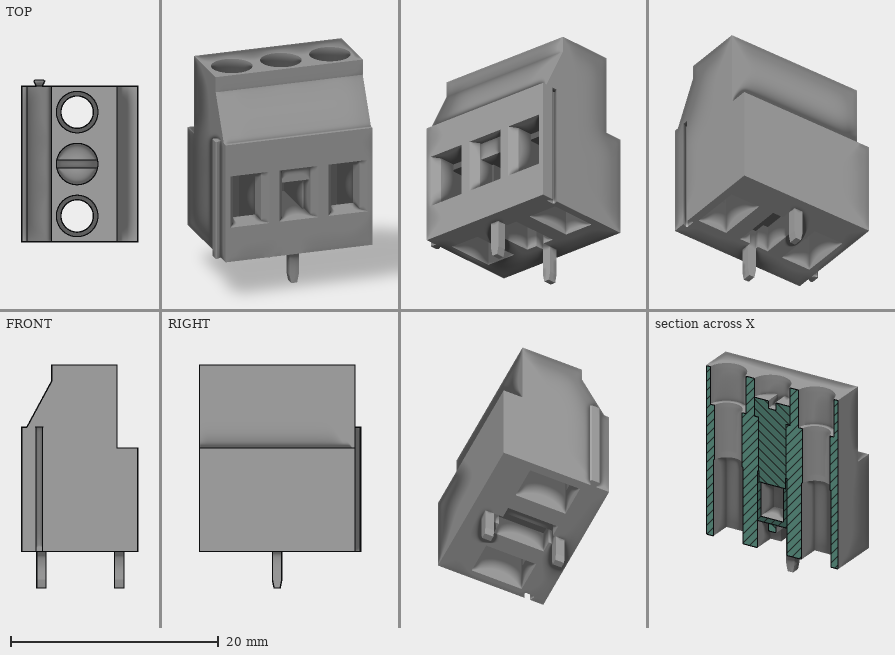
import cadquery as cq


pole_count = 3
pole_pitch = 5.0
housing_width = pole_count * pole_pitch
pole_centres = [(i + 0.5) * pole_pitch for i in range(pole_count)]
fitted_pole_y = pole_centres[pole_count // 2]

housing_depth = 11.2
housing_height = 18.0
front_height = 12.0
front_ledge = 0.5
slope_end_x = 2.9
slope_end_z = 16.45
rear_step_x = 9.2
rear_step_z = 10.0

dovetail_x = 1.7
dovetail_neck = 0.6
dovetail_head = 1.06
dovetail_depth = 0.6
dovetail_edge = 0.12

opening_width = 4.0
throat_width = 2.9
opening_bottom = 3.5
opening_top = 8.76
taper_depth = 0.9

screw_x = 5.35
shaft_diameter = 4.0
shank_diameter = 3.1
shaft_floor = 14.0

cavity_front = 2.7
cavity_back = 2 * screw_x - cavity_front
cavity_width = 3.3
cavity_top = 8.17

screw_head_top = 16.0
slot_width = 0.8
slot_depth = 0.8

tunnel_width = 2.5
cage_floor_thickness = 0.6
cage_bottom = opening_bottom - cage_floor_thickness
tongue_front = 1.1
tongue_bottom = 7.06

pin_size = 0.93
pin_pitch = 7.5
front_pin_x = 1.9
pin_length = 3.5
pin_taper_length = 0.8
pin_tip_width = 0.6
contact_bar_thickness = 0.8
bar_start = front_pin_x - pin_size / 2
bar_end = bar_start + pin_pitch + pin_size


def box(x0, x1, y_centre, width, z0, z1):
    """Block between two X and two Z positions, centred on a Y position."""
    return (
        cq.Workplane("XY", origin=(x0, y_centre, z0))
        .box(x1 - x0, width, z1 - z0, centered=(False, True, False))
    )


def cylinder(diameter, y_centre, z0, z1):
    """Upright cylinder on the screw axis of a pole."""
    return cq.Workplane("XY", origin=(screw_x, y_centre, z0)).circle(diameter / 2).extrude(z1 - z0)


def dovetail(face_y):
    """Dovetail bar standing toward +Y from the plane Y = face_y."""
    half_neck = dovetail_neck / 2
    half_head = dovetail_head / 2
    half_tip = half_head - dovetail_edge
    shoulder_y = dovetail_depth - dovetail_edge
    return (
        cq.Workplane("XY", origin=(dovetail_x, face_y, 0))
        .moveTo(-half_neck, 0)
        .lineTo(-half_head, shoulder_y)
        .lineTo(-half_tip, dovetail_depth)
        .lineTo(half_tip, dovetail_depth)
        .lineTo(half_head, shoulder_y)
        .lineTo(half_neck, 0)
        .close()
        .extrude(front_height)
    )


def wire_opening(y_centre):
    """Opening that narrows from the front face to a straight throat."""
    half_mouth = opening_width / 2
    half_throat = throat_width / 2
    return (
        cq.Workplane("XY", origin=(0, y_centre, opening_bottom))
        .moveTo(0, -half_mouth)
        .lineTo(taper_depth, -half_throat)
        .lineTo(cavity_front, -half_throat)
        .lineTo(cavity_front, half_throat)
        .lineTo(taper_depth, half_throat)
        .lineTo(0, half_mouth)
        .close()
        .extrude(opening_top - opening_bottom)
    )


def contact_body():
    """Flat bar under the cage with a tapered pin at each end."""
    bar_bottom = cage_bottom - contact_bar_thickness
    body = box(bar_start, bar_end, fitted_pole_y, pin_size, bar_bottom, cage_bottom)
    half_pin = pin_size / 2
    half_tip = pin_tip_width / 2
    taper_z = pin_taper_length - pin_length
    for start_x in (bar_start, bar_start + pin_pitch):
        pin = (
            cq.Workplane("YZ", origin=(start_x, fitted_pole_y, 0))
            .moveTo(-half_pin, bar_bottom)
            .lineTo(-half_pin, taper_z)
            .lineTo(-half_tip, -pin_length)
            .lineTo(half_tip, -pin_length)
            .lineTo(half_pin, taper_z)
            .lineTo(half_pin, bar_bottom)
            .close()
            .extrude(pin_size)
        )
        body = body.union(pin)
    return body


def contact_slot():
    """Slot in the underside, as long as the contact, through which it is inserted."""
    return box(bar_start, bar_end, fitted_pole_y, pin_size, 0, cage_bottom)


def cage_body():
    """Rectangular wire tunnel with a tongue reaching forward into the wire opening."""
    frame = box(cavity_front, cavity_back, fitted_pole_y, cavity_width, cage_bottom, cavity_top)
    tunnel = box(cavity_front, cavity_back, fitted_pole_y, tunnel_width, opening_bottom, tongue_bottom)
    tongue = box(tongue_front, cavity_front, fitted_pole_y, throat_width, tongue_bottom, opening_top)
    screw_hole = cylinder(shank_diameter, fitted_pole_y, tongue_bottom, cavity_top)
    return frame.cut(tunnel).union(tongue).cut(screw_hole)


def screw_body():
    """Slotted screw whose head rests on the shaft floor."""
    head = cylinder(shaft_diameter, fitted_pole_y, shaft_floor, screw_head_top)
    shank = cylinder(shank_diameter, fitted_pole_y, tongue_bottom, shaft_floor)
    radius = shaft_diameter / 2
    slot_floor = screw_head_top - slot_depth
    slot = box(screw_x - radius, screw_x + radius, fitted_pole_y, slot_width, slot_floor, screw_head_top)
    return head.union(shank).cut(slot)


def housing_body():
    """Stepped housing with a wire opening, screw shaft and cage cavity at every pole."""
    body = (
        cq.Workplane("XZ")
        .moveTo(0, 0)
        .lineTo(0, front_height)
        .lineTo(front_ledge, front_height)
        .lineTo(slope_end_x, slope_end_z)
        .lineTo(slope_end_x, housing_height)
        .lineTo(rear_step_x, housing_height)
        .lineTo(rear_step_x, rear_step_z)
        .lineTo(housing_depth, rear_step_z)
        .lineTo(housing_depth, 0)
        .close()
        .extrude(-housing_width)
    )
    body = body.union(dovetail(housing_width)).cut(dovetail(0))
    for y in pole_centres:
        body = body.cut(wire_opening(y))
        body = body.cut(cylinder(shaft_diameter, y, shaft_floor, housing_height))
        body = body.cut(cylinder(shank_diameter, y, cavity_top, shaft_floor))
        body = body.cut(box(cavity_front, cavity_back, y, cavity_width, 0, cavity_top))
    return body.cut(contact_slot())


housing = housing_body()
screw = screw_body()
cage = cage_body()
contact = contact_body()

result = cq.Compound.makeCompound(
    [body.solids().val() for body in (housing, screw, cage, contact)]
)